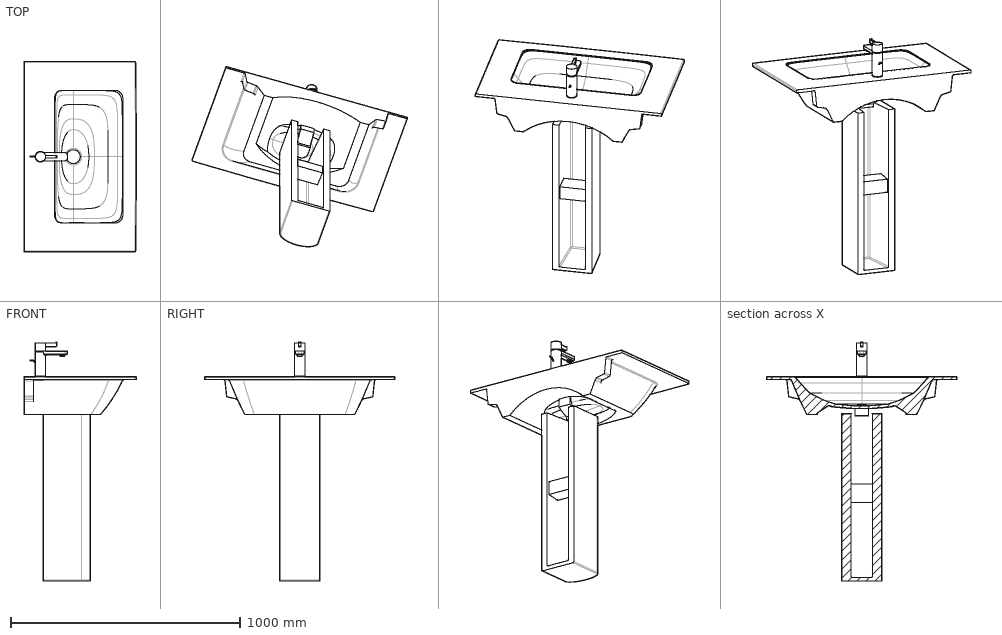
import cadquery as cq
import math


pick_margin = 1.0

slab_top = 892.0
slab_thickness = 14.0
slab_bottom = slab_top - slab_thickness
slab_width = 831.0
slab_depth = 490.0
front_bow = 3.0
slab_corner_radius = 6.0
slab_edge_radius = 4.0
slab_blend_radius = 5.0
basin_bottom = 727.0

hull_sections = [
    (basin_bottom, 334.0, 240.0, 42.0),
    (803.0, 390.0, 276.0, 52.0),
    (slab_bottom + slab_thickness / 2, 435.0, 311.0, 63.0),
]

flange_depth = 41.0
flange_top_half = 327.0
flange_shelf_half = 319.0
flange_shelf_z = 804.0
flange_foot_half = 275.0
flange_foot_z = 794.0
flange_root_half = 259.0
flange_root_z = 771.0
flange_radius = 6.0

rim_back = 132.0
rim_front = 430.0
rim_half_width = 290.0
rim_corner_radius = 35.0
rim_depth = 4.0

drain_x = 215.0
drain_z = 765.0
seat_radius = 36.0
bowl_sections = [
    (slab_top - rim_depth, 134.0, 428.0, 288.0, 12),
    (865.0, 141.0, 408.0, 269.0, 9),
    (821.0, 146.0, 367.0, 227.0, 5),
    (789.0, 153.0, 307.0, 165.0, 2.8),
    (772.0, 163.0, 282.0, 118.0, 2.2),
    (drain_z, drain_x - seat_radius, drain_x + seat_radius, seat_radius, 2),
]
quarter_steps = 10
bowl_wall = 13.0

arch_half_width = 200.0
arch_height = 76.0
hollow_depth = 318.0
hollow_side_depth = 240.0

channel_width = 60.0
channel_back = 130.0
channel_top = 813.0
channel_slope_top = 765.0
channel_slope_bottom = 735.0
channel_bottom = 721.0

stopper_diameter = 60.0
stopper_rim = 6.0
stopper_dome = 4.0

pedestal_back = 82.0
pedestal_front = 289.0
pedestal_width = 176.0
pedestal_height = 731.0
pedestal_front_bulge = 39.0
pedestal_foot_radius = 4.0
pedestal_wall = 29.0
pedestal_floor = 17.0
pedestal_inner_radius = 7.0
opening_front_half = 44.0
pedestal_floor_radius = 5.0
bar_back = 95.0
bar_depth = 57.0
bar_middle = 384.0
bar_back_height = 59.0
bar_front_height = 82.0

tap_x = 71.0
tap_diameter = 46.0
tap_neck_diameter = 42.0
tap_neck_height = 3.0
tap_height = 112.0
cap_height = 35.0
spout_end = 189.0
spout_width = 36.0
spout_height = 18.0
spout_corner_radius = 11.0
spout_chamfer = 5.0
spout_root_radius = 5.0
aerator_x = 167.0
aerator_diameter = 20.0
aerator_drop = 5.0
aerator_recess = 4.0
lever_end = 143.0
lever_width = 10.0
lever_height = 17.0
lever_tip_length = 4.0
lever_tip_top = 1042.0
rod_diameter = 4.0
rod_back = 25.0
rod_bend = 40.0
rod_rise = 70.0
rod_slope_drop = 13.0


def superellipse_quarter(z, length, half_width, exponent):
    """Edge from (drain_x + length, 0) to (drain_x, half_width); signs choose the quarter."""
    points = []
    for step in range(quarter_steps + 1):
        angle = math.pi / 2 * step / quarter_steps
        along = abs(math.cos(angle)) ** (2 / exponent) if step < quarter_steps else 0
        across = math.sin(angle) ** (2 / exponent)
        points.append(cq.Vector(drain_x + length * along, half_width * across, z))
    tangents = [cq.Vector(0, half_width, 0).normalized(), cq.Vector(-length, 0, 0).normalized()]
    return cq.Edge.makeSpline(points, tangents=tangents)


def bowl_plan(z, back, front, half_width, exponent):
    """Closed wire of four superellipse quarters that meet beside, before and behind the drain."""
    ahead = front - drain_x
    behind = back - drain_x
    corners = [(ahead, half_width), (behind, half_width), (behind, -half_width), (ahead, -half_width)]
    return cq.Wire.assembleEdges([superellipse_quarter(z, *corner, exponent) for corner in corners])


def hull_plan(z, front, half_width, radius):
    """Closed wire: rectangle from the wall to front, with rounded front corners."""
    mid = radius * (1 - math.sqrt(0.5))
    plan = (
        cq.Workplane("XY", origin=(0, 0, z))
        .moveTo(0, -half_width)
        .lineTo(front - radius, -half_width)
        .threePointArc((front - mid, mid - half_width), (front, radius - half_width))
        .lineTo(front, half_width - radius)
        .threePointArc((front - mid, half_width - mid), (front - radius, half_width))
        .lineTo(0, half_width)
        .close()
    )
    return plan.val()


def make_slab():
    half = slab_width / 2
    corner_x = slab_depth - front_bow
    slab = (
        cq.Workplane("XY", origin=(0, 0, slab_bottom))
        .moveTo(0, -half)
        .lineTo(corner_x, -half)
        .threePointArc((slab_depth, 0), (corner_x, half))
        .lineTo(0, half)
        .close()
        .extrude(slab_thickness)
    )
    slab = slab.edges("|Z").edges(">X").fillet(slab_corner_radius)
    return slab.faces(">Z").edges("not <X").fillet(slab_edge_radius)


def make_flange():
    outline = [
        (-flange_top_half, slab_bottom),
        (-flange_shelf_half, flange_shelf_z),
        (-flange_foot_half, flange_foot_z),
        (-flange_root_half, flange_root_z),
    ]
    outline += [(-y, z) for y, z in reversed(outline)]
    flange = cq.Workplane("YZ").polyline(outline).close().extrude(flange_depth)
    side_edges = cq.selectors.BoxSelector(
        (-pick_margin, -slab_width, flange_foot_z - pick_margin),
        (slab_depth, slab_width, flange_shelf_z + pick_margin),
    )
    return flange.edges("|X").edges(side_edges).fillet(flange_radius)


def make_bowl(wall):
    """Inside of the bowl, enlarged by wall on every side."""
    wires = [
        bowl_plan(z - wall, back - wall, front + wall, half + wall, exponent)
        for z, back, front, half, exponent in bowl_sections
    ]
    return cq.Workplane(cq.Solid.makeLoft(wires, True))


def make_rim():
    return (
        cq.Workplane("XY", origin=((rim_back + rim_front) / 2, 0, slab_top - rim_depth))
        .rect(rim_front - rim_back, 2 * rim_half_width)
        .extrude(rim_depth)
        .edges("|Z")
        .fillet(rim_corner_radius)
    )


def make_channel():
    radius = channel_width / 2
    plan = (
        cq.Workplane("XY", origin=(0, 0, channel_bottom))
        .moveTo(channel_back, -radius)
        .lineTo(drain_x, -radius)
        .threePointArc((drain_x + radius, 0), (drain_x, radius))
        .lineTo(channel_back, radius)
        .close()
        .extrude(channel_top - channel_bottom)
    )
    outlet_back = drain_x - radius
    under = (
        cq.Workplane("XZ")
        .moveTo(channel_back, channel_slope_top)
        .lineTo(outlet_back, channel_slope_bottom)
        .lineTo(outlet_back, channel_bottom)
        .lineTo(channel_back, channel_bottom)
        .close()
        .extrude(radius, both=True)
    )
    return plan.cut(under)


def make_hollow():
    arch = (
        cq.Workplane("YZ")
        .moveTo(-arch_half_width, basin_bottom)
        .threePointArc((0, basin_bottom + arch_height), (arch_half_width, basin_bottom))
        .close()
        .extrude(hollow_depth)
    )
    plan = (
        cq.Workplane("XY", origin=(0, 0, basin_bottom))
        .moveTo(0, -arch_half_width)
        .lineTo(hollow_side_depth, -arch_half_width)
        .threePointArc((hollow_depth, 0), (hollow_side_depth, arch_half_width))
        .lineTo(0, arch_half_width)
        .close()
        .extrude(arch_height)
    )
    return arch.intersect(plan).cut(make_bowl(bowl_wall))


def make_basin():
    hull = cq.Workplane(cq.Solid.makeLoft([hull_plan(*section) for section in hull_sections], False))
    body = hull.union(make_flange()).union(make_slab())
    blend_front = slab_depth - front_bow - slab_corner_radius
    blend_zone = cq.selectors.BoxSelector(
        (pick_margin, -flange_top_half - pick_margin, slab_bottom - pick_margin),
        (blend_front, flange_top_half + pick_margin, slab_bottom + pick_margin),
    )
    body = body.edges(blend_zone).fillet(slab_blend_radius)
    body = body.cut(make_hollow()).union(make_channel())
    return body.cut(make_bowl(0)).cut(make_rim()).cut(make_stopper())


def make_stopper():
    radius = stopper_diameter / 2
    dome_radius = (radius**2 + stopper_dome**2) / (2 * stopper_dome)
    mid_height = stopper_rim + stopper_dome - dome_radius + math.sqrt(dome_radius**2 - (radius / 2) ** 2)
    return (
        cq.Workplane("XZ", origin=(drain_x, 0, drain_z - stopper_rim))
        .lineTo(radius, 0)
        .lineTo(radius, stopper_rim)
        .threePointArc((radius / 2, mid_height), (0, stopper_rim + stopper_dome))
        .close()
        .revolve(360, (0, 0), (0, 1))
    )


def make_pedestal():
    depth = pedestal_front - pedestal_back
    straight_depth = depth - pedestal_front_bulge
    half = pedestal_width / 2
    shaft = (
        cq.Workplane("XY", origin=(pedestal_back, 0, 0))
        .moveTo(0, half)
        .lineTo(0, -half)
        .lineTo(straight_depth, -half)
        .ellipseArc(pedestal_front_bulge, half, -90, 90, startAtCurrent=True)
        .close()
        .extrude(pedestal_height)
    )
    shaft = shaft.faces("<Z").edges("not <X").fillet(pedestal_foot_radius)
    inner_depth = depth - pedestal_wall
    opening_back_half = half - pedestal_wall
    opening = (
        cq.Workplane("XY", origin=(pedestal_back, 0, pedestal_floor))
        .moveTo(0, -opening_back_half)
        .lineTo(inner_depth, -opening_front_half)
        .lineTo(inner_depth, opening_front_half)
        .lineTo(0, opening_back_half)
        .close()
        .extrude(pedestal_height)
        .edges("|Z and >X")
        .fillet(pedestal_inner_radius)
        .faces("<Z")
        .edges("not <X")
        .fillet(pedestal_floor_radius)
    )
    bar = (
        cq.Workplane("XZ", origin=(bar_back, 0, bar_middle))
        .moveTo(0, -bar_back_height / 2)
        .lineTo(bar_depth, -bar_front_height / 2)
        .lineTo(bar_depth, bar_front_height / 2)
        .lineTo(0, bar_back_height / 2)
        .close()
        .extrude(half - pedestal_wall / 2, both=True)
    )
    return shaft.cut(opening).union(bar)


def tap_cylinder(diameter, bottom, height):
    return cq.Workplane("XY", origin=(tap_x, 0, slab_top + bottom)).circle(diameter / 2).extrude(height)


def make_spout():
    top = slab_top + tap_height
    length = spout_end - tap_x
    spout = (
        cq.Workplane("XY", origin=(tap_x + length / 2, 0, top - spout_height))
        .rect(length, spout_width)
        .extrude(spout_height)
        .edges("|Z and >X")
        .fillet(spout_corner_radius)
    )
    return spout.faces("<Z").edges("not <X").chamfer(spout_chamfer)


def make_aerator():
    bottom = slab_top + tap_height - spout_height - aerator_drop
    return (
        cq.Workplane("XY", origin=(aerator_x, 0, bottom))
        .circle(aerator_diameter / 2)
        .extrude(aerator_drop + aerator_recess)
    )


def make_rod():
    rise = slab_top + rod_rise
    path = (
        cq.Workplane("XZ")
        .moveTo(rod_back, rise)
        .lineTo(rod_bend, rise)
        .lineTo(rod_bend + rod_slope_drop, rise - rod_slope_drop)
    )
    section = cq.Workplane("YZ", origin=(rod_back, 0, rise)).circle(rod_diameter / 2)
    return section.sweep(path, transition="right")


def make_tap_body():
    body = tap_cylinder(tap_neck_diameter, 0, tap_height)
    body = body.union(tap_cylinder(tap_diameter, tap_neck_height, tap_height - 2 * tap_neck_height))
    body = body.union(make_spout())
    spout_bottom = slab_top + tap_height - spout_height
    root_zone = cq.selectors.BoxSelector(
        (tap_x, -spout_width / 2, spout_bottom - pick_margin),
        (tap_x + tap_diameter / 2 + pick_margin, spout_width / 2, spout_bottom + pick_margin),
    )
    body = body.edges(root_zone).edges("not #Z").fillet(spout_root_radius)
    return body.cut(make_aerator()).cut(make_rod())


def make_lever():
    top = slab_top + tap_height + cap_height
    lever = (
        cq.Workplane("XZ")
        .moveTo(tap_x, top - lever_height)
        .lineTo(lever_end - lever_tip_length, top - lever_height)
        .lineTo(lever_end, top - lever_height + lever_tip_length)
        .lineTo(lever_end, lever_tip_top)
        .lineTo(lever_end - lever_tip_length, lever_tip_top)
        .lineTo(lever_end - lever_tip_length, top)
        .lineTo(tap_x, top)
        .close()
        .extrude(lever_width / 2, both=True)
    )
    return lever.cut(tap_cylinder(tap_diameter, tap_height, cap_height))


def make_cap():
    return tap_cylinder(tap_diameter, tap_height, cap_height)


basin = make_basin()
stopper = make_stopper()
pedestal = make_pedestal()
tap_body = make_tap_body()
cap = make_cap()
lever = make_lever()
aerator = make_aerator()
rod = make_rod()

result = cq.Compound.makeCompound(
    [body.val() for body in (basin, stopper, pedestal, tap_body, cap, lever, aerator, rod)]
)